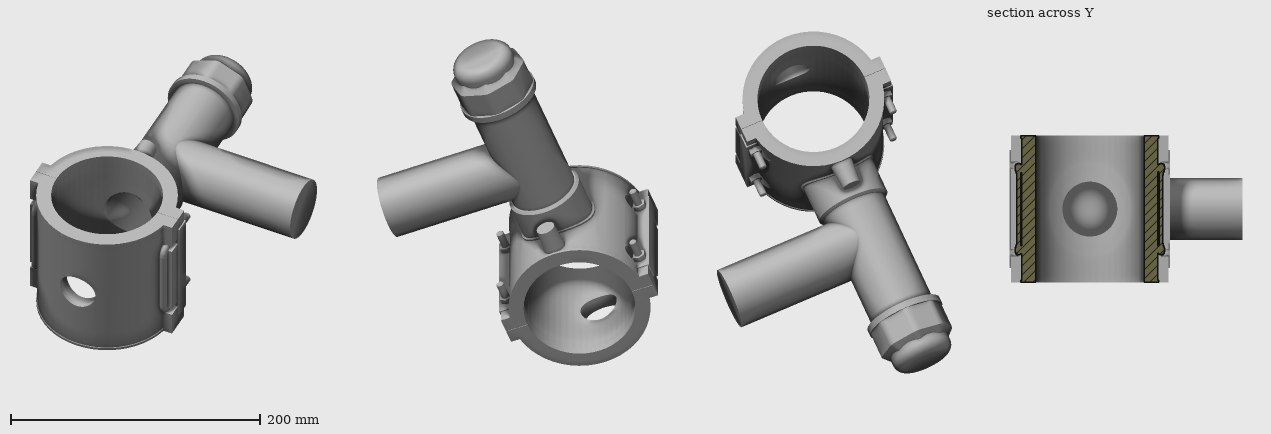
import cadquery as cq
import math

overall_width = 187.0
overall_length = 279.0

ring_height = 118.0
bore_radius = 45.0
band_radius = 57.0
body_radius = 56.0
band_height = 2.2

lug_reach = 63.3
rear_lug_thickness = 11.5
front_lug_thickness = 11.2
split_gap = 0.3
plate_reach = 64.5
plate_thickness = 12.3
plate_length = 94.8

bolt_x = 57.2
bolt_half_spacing = 35.1
bolt_diameter = 6.0
bolt_tip_y = 30.0
bolt_tip_chamfer = 0.8
bolt_bend_radius = 7.8
nut_side_count = 6
nut_across_flats = 9.8
nut_top_y = 16.5
nut_recess_diameter = 23.5
nut_recess_x = 61.0

collar_diameter = 60.0
collar_end_y = 80.5
collar_edge = 2.0
pad_diameter = 63.0
pad_radius = 57.5
pipe_diameter = 53.5
port_diameter = 44.0
front_hole_diameter = 31.2
side_pipe_diameter = 50.0
side_pipe_y = 109.0
side_pipe_end_x = overall_width - plate_reach

cap_start_y = 177.7
flange_diameter = 63.5
flange_end_y = 183.0
cap_side_count = 8
cap_apothem = 29.3
cap_corner_radius = 8.5
cap_grip_end_y = 204.2
cap_bevel = 5.9
dome_diameter = 50.5
dome_edge_radius = 8.6
dome_end_y = overall_length - band_radius

peg_z = 47.0
peg_tip_y = 75.5
peg_tip_diameter = 15.0
peg_root_y = 55.8
peg_root_diameter = 18.0


def cylinder_y(diameter, start, end, x=0.0, z=0.0):
    """Solid cylinder parallel to Y between two Y positions."""
    direction = cq.Vector(0, 1, 0)
    return cq.Workplane(cq.Solid.makeCylinder(diameter / 2, end - start, cq.Vector(x, start, z), direction))


def cylinder_z(radius, height):
    """Solid cylinder on the ring axis, centred in height."""
    return cq.Workplane().cylinder(height, radius)


def box_between(x_range, y_range, z_range):
    """Box given by its limits along each axis."""
    sizes = [high - low for low, high in (x_range, y_range, z_range)]
    corner = (x_range[0], y_range[0], z_range[0])
    return cq.Workplane().box(*sizes, centered=False).translate(corner)


def prism_y(side_count, apothem, start, end):
    """Regular prism along Y with one corner on the +Z side."""
    corner_diameter = 2 * apothem / math.cos(math.pi / side_count)
    plane = cq.Plane(origin=(0, start, 0), xDir=(0, 0, 1), normal=(0, 1, 0))
    return cq.Workplane(plane).polygon(side_count, corner_diameter).extrude(end - start)


def make_ring():
    """Ring with a raised band at each end and the lug blocks on both sides."""
    ring = cylinder_z(body_radius, ring_height)
    band_z = (ring_height - band_height) / 2
    for z in (-band_z, band_z):
        ring = ring.union(cylinder_z(band_radius, band_height).translate((0, 0, z)))
    half_height = ring_height / 2
    lugs = box_between(
        (-lug_reach, lug_reach),
        (-front_lug_thickness, rear_lug_thickness),
        (-half_height, half_height),
    )
    plates = box_between(
        (-plate_reach, plate_reach),
        (0, plate_thickness),
        (-plate_length / 2, plate_length / 2),
    )
    return ring.union(lugs).union(plates)


def make_bolt_slot(side, z):
    """Slot that lets a bolt leg enter the front lug from outside."""
    x_limits = sorted((side * bolt_x, side * plate_reach))
    half_width = bolt_diameter / 2
    return box_between(x_limits, (-front_lug_thickness, 0), (z - half_width, z + half_width))


def make_nut_recess(side, z):
    """Round recess in the flank of the ring that clears a nut."""
    return cylinder_y(nut_recess_diameter, plate_thickness, band_radius, side * nut_recess_x, z)


def make_u_bolt(side):
    """U-bolt with both threaded ends pointing to +Y, and its two nuts."""
    x = side * bolt_x
    bar_y = -front_lug_thickness - bolt_diameter / 2
    bend_y = bar_y + bolt_bend_radius
    bend_z = bolt_half_spacing - bolt_bend_radius
    mid = bolt_bend_radius * math.sqrt(0.5)
    path = (
        cq.Workplane("YZ", origin=(x, 0, 0))
        .moveTo(bolt_tip_y, bolt_half_spacing)
        .lineTo(bend_y, bolt_half_spacing)
        .threePointArc((bend_y - mid, bend_z + mid), (bar_y, bend_z))
        .lineTo(bar_y, -bend_z)
        .threePointArc((bend_y - mid, -bend_z - mid), (bend_y, -bolt_half_spacing))
        .lineTo(bolt_tip_y, -bolt_half_spacing)
    )
    start_plane = cq.Plane(origin=(x, bolt_tip_y, bolt_half_spacing), xDir=(1, 0, 0), normal=(0, -1, 0))
    bolt = cq.Workplane(start_plane).circle(bolt_diameter / 2).sweep(path)
    bolt = bolt.faces(">Y").edges().chamfer(bolt_tip_chamfer)
    for z in (-bolt_half_spacing, bolt_half_spacing):
        nut = prism_y(nut_side_count, nut_across_flats / 2, rear_lug_thickness, nut_top_y)
        bolt = bolt.union(nut.translate((x, 0, z)))
    return bolt


def make_fitting():
    """Collar, saddle pad, straight pipe and side pipe."""
    collar = cylinder_y(collar_diameter, 0, collar_end_y).faces(">Y").edges().chamfer(collar_edge)
    pad = cylinder_y(pad_diameter, 0, collar_end_y).intersect(cylinder_z(pad_radius, ring_height))
    pipe = cylinder_y(pipe_diameter, 0, cap_start_y)
    side_pipe = (
        cq.Workplane("YZ").center(side_pipe_y, 0).circle(side_pipe_diameter / 2).extrude(side_pipe_end_x)
    )
    return collar.union(pad).union(pipe).union(side_pipe)


def make_cap():
    """Cap with a round flange, a bevelled octagonal grip and a domed end."""
    flange = cylinder_y(flange_diameter, cap_start_y, flange_end_y)
    grip = prism_y(cap_side_count, cap_apothem, cap_start_y, cap_grip_end_y + cap_bevel)
    grip = grip.edges("|Y").fillet(cap_corner_radius).faces(">Y").chamfer(cap_bevel)
    dome = cylinder_y(dome_diameter, cap_start_y, dome_end_y).faces(">Y").edges().fillet(dome_edge_radius)
    return flange.union(grip).union(dome)


def make_peg(z):
    """Peg along +Y that tapers from the ring to its free end."""
    length = peg_tip_y - peg_root_y
    cone = cq.Solid.makeCone(
        peg_root_diameter / 2, peg_tip_diameter / 2, length, cq.Vector(0, peg_root_y, z), cq.Vector(0, 1, 0)
    )
    root = cylinder_y(peg_root_diameter, bore_radius, peg_root_y, z=z)
    return root.union(cq.Workplane(cone))


result = make_ring()

result = result.cut(
    box_between((-plate_reach, plate_reach), (-split_gap, 0), (-ring_height / 2, ring_height / 2))
)
for side in (-1, 1):
    for z in (-bolt_half_spacing, bolt_half_spacing):
        result = result.cut(make_bolt_slot(side, z)).cut(make_nut_recess(side, z))

result = result.union(make_fitting()).union(make_cap())
for z in (-peg_z, peg_z):
    result = result.union(make_peg(z))

result = result.cut(cylinder_z(bore_radius, ring_height))
result = result.cut(cylinder_y(front_hole_diameter, -band_radius, 0))
result = result.cut(cylinder_y(port_diameter, 0, collar_end_y))

for side in (-1, 1):
    result = result.union(make_u_bolt(side))